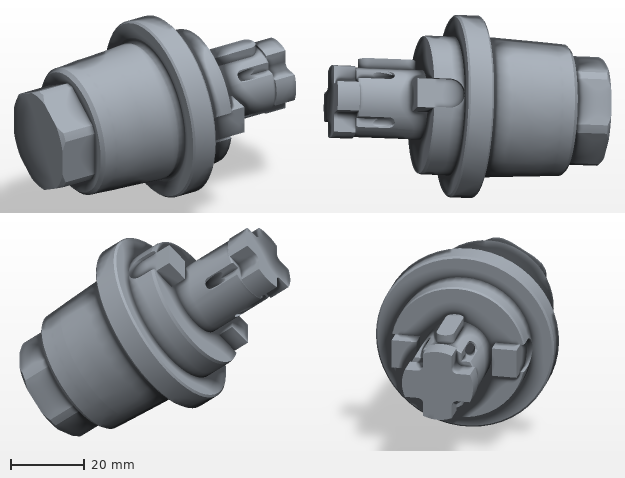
import cadquery as cq
import math


HEX_FLATS = 27.05
HEX_CORNER_RADIUS = 14.95
HEX_CHAMFER = 1.0

BODY_FRONT = 10.05
BODY_CHAMFER = 1.0
TAPER_FRONT_RADIUS = 18.0
TAPER_SEAM = 18.0
TAPER_SEAM_RADIUS = 18.4
TAPER_BACK = 33.1
TAPER_BACK_RADIUS = 19.3

NECK_RADIUS = 19.0
NECK_FRONT = 33.8
RELIEF_FILLET = 0.6
RELIEF_ANGLE = math.radians(12)
RELIEF_OUTER_RADIUS = 20.3

FLANGE_RADIUS = 25.0
FLANGE_FRONT = 34.9
FLANGE_BACK = 42.0
FLANGE_CHAMFER = 0.5

HUB_RADIUS = 19.05
HUB_BACK = 50.4
HUB_CHAMFER_LENGTH = 0.9
HUB_CHAMFER_DEPTH = 0.2

DRIVE_KEY_WIDTH = 8.0
DRIVE_KEY_BACK = 54.9
DRIVE_KEY_INNER = 10.6
DRIVE_KEY_OUTER = 17.5

SHAFT_RADIUS = 9.5
SHAFT_CHAMFER_LENGTH = 0.45
SHAFT_CHAMFER_DEPTH = 0.2

FEATHER_WIDTH = 4.9
FEATHER_FRONT = 52.0
FEATHER_BACK = 68.0
FEATHER_TOP = 12.0

CROSS_RADIUS = 10.0
CROSS_FRONT = 69.4
CROSS_ARM_WIDTH = 8.0
CROSS_FILLET = 1.6
LENGTH = 75.55

GROOVE_CORNER = 5.4
GROOVE_FRONT = 59.1

HOLE_DIAMETER = 3.0
HOLE_SLOPE = math.radians(22)
HOLE_ENTRY = 64.2
HOLE_DEPTH = 9.1


def make_turned_body():
    """Taper, undercut, flange, hub and shaft, revolved about the Y axis."""
    fillet_center_radius = NECK_RADIUS + RELIEF_FILLET
    relief_inner_radius = fillet_center_radius + RELIEF_FILLET * math.sin(RELIEF_ANGLE)
    relief_depth = (RELIEF_OUTER_RADIUS - relief_inner_radius) * math.tan(RELIEF_ANGLE)
    relief_bottom = FLANGE_FRONT + relief_depth
    neck_back = relief_bottom - RELIEF_FILLET * math.cos(RELIEF_ANGLE)
    middle_angle = (math.pi + math.pi / 2 - RELIEF_ANGLE) / 2
    fillet_middle = (
        fillet_center_radius + RELIEF_FILLET * math.cos(middle_angle),
        neck_back + RELIEF_FILLET * math.sin(middle_angle),
    )
    return (
        cq.Workplane(cq.Plane((0, 0, 0), xDir=(0, 0, 1), normal=(-1, 0, 0)))
        .moveTo(0, BODY_FRONT)
        .lineTo(TAPER_FRONT_RADIUS - BODY_CHAMFER, BODY_FRONT)
        .lineTo(TAPER_FRONT_RADIUS, BODY_FRONT + BODY_CHAMFER)
        .lineTo(TAPER_SEAM_RADIUS, TAPER_SEAM)
        .lineTo(TAPER_BACK_RADIUS, TAPER_BACK)
        .lineTo(NECK_RADIUS, NECK_FRONT)
        .lineTo(NECK_RADIUS, neck_back)
        .threePointArc(fillet_middle, (relief_inner_radius, relief_bottom))
        .lineTo(RELIEF_OUTER_RADIUS, FLANGE_FRONT)
        .lineTo(FLANGE_RADIUS - FLANGE_CHAMFER, FLANGE_FRONT)
        .lineTo(FLANGE_RADIUS, FLANGE_FRONT + FLANGE_CHAMFER)
        .lineTo(FLANGE_RADIUS, FLANGE_BACK - FLANGE_CHAMFER)
        .lineTo(FLANGE_RADIUS - FLANGE_CHAMFER, FLANGE_BACK)
        .lineTo(HUB_RADIUS, FLANGE_BACK)
        .lineTo(HUB_RADIUS, HUB_BACK - HUB_CHAMFER_LENGTH)
        .lineTo(HUB_RADIUS - HUB_CHAMFER_DEPTH, HUB_BACK)
        .lineTo(SHAFT_RADIUS, HUB_BACK)
        .lineTo(SHAFT_RADIUS, CROSS_FRONT - SHAFT_CHAMFER_LENGTH)
        .lineTo(SHAFT_RADIUS - SHAFT_CHAMFER_DEPTH, CROSS_FRONT)
        .lineTo(0, CROSS_FRONT)
        .close()
        .revolve(360, (0, 0, 0), (0, 1, 0))
    )


def along_y(start):
    """Workplane at Y = start whose extrusions run toward +Y; its local Y axis is Z."""
    return cq.Workplane(cq.Plane((0, start, 0), xDir=(-1, 0, 0), normal=(0, 1, 0)))


def make_hex_head():
    """Hexagon with corners toward +-Z, corners turned round and chamfered at the end face."""
    hexagon = (
        along_y(0)
        .polygon(6, HEX_FLATS / math.cos(math.pi / 6))
        .extrude(BODY_FRONT)
        .rotate((0, 0, 0), (0, 1, 0), 30)
    )
    turned = along_y(0).circle(HEX_CORNER_RADIUS).extrude(BODY_FRONT)
    return hexagon.intersect(turned.faces("<Y").chamfer(HEX_CHAMFER))


def make_drive_key_block(side, start, depth):
    """Block with the drive key outline, rounded at the flange, reaching outward from X = start."""
    half_width = DRIVE_KEY_WIDTH / 2
    round_center = FLANGE_BACK + half_width
    return (
        cq.Workplane("YZ", origin=(side * start, 0, 0))
        .moveTo(DRIVE_KEY_BACK, half_width)
        .lineTo(round_center, half_width)
        .threePointArc((FLANGE_BACK, 0), (round_center, -half_width))
        .lineTo(DRIVE_KEY_BACK, -half_width)
        .close()
        .extrude(side * depth)
    )


def make_feather_key():
    """Round-ended key on the +Z side of the shaft."""
    length = FEATHER_BACK - FEATHER_FRONT
    return (
        cq.Workplane("XY")
        .center(0, (FEATHER_FRONT + FEATHER_BACK) / 2)
        .slot2D(length, FEATHER_WIDTH, 90)
        .extrude(FEATHER_TOP)
    )


def make_cross_head():
    """Cross with filleted inside corners and arm ends on a cylinder."""
    cross_length = LENGTH - CROSS_FRONT
    arm = along_y(CROSS_FRONT).rect(2 * CROSS_RADIUS, CROSS_ARM_WIDTH).extrude(cross_length)
    cross = arm.union(arm.rotate((0, 0, 0), (0, 1, 0), 90))
    reach = CROSS_ARM_WIDTH
    corner_box = cq.selectors.BoxSelector((-reach, CROSS_FRONT, -reach), (reach, LENGTH, reach))
    cross = cross.edges("|Y").edges(corner_box).fillet(CROSS_FILLET)
    return cross.intersect(along_y(CROSS_FRONT).circle(CROSS_RADIUS).extrude(cross_length))


def make_groove():
    """Round-ended V groove above the axis, with a round hole sloping inward from its end."""
    groove_bottom = GROOVE_CORNER * math.sqrt(2)
    half_width = math.sqrt(SHAFT_RADIUS**2 - GROOVE_CORNER**2) / math.sqrt(2) - groove_bottom / 2
    end_center = GROOVE_FRONT + half_width
    groove_length = CROSS_FRONT - GROOVE_FRONT
    v_height = SHAFT_RADIUS
    v_cut = (
        along_y(GROOVE_FRONT)
        .polyline(
            [
                (0, groove_bottom),
                (v_height, groove_bottom + v_height),
                (-v_height, groove_bottom + v_height),
            ]
        )
        .close()
        .extrude(groove_length)
    )
    rounded_width = (
        cq.Workplane("XY")
        .moveTo(half_width, CROSS_FRONT)
        .lineTo(half_width, end_center)
        .threePointArc((0, GROOVE_FRONT), (-half_width, end_center))
        .lineTo(-half_width, CROSS_FRONT)
        .close()
        .extrude(groove_bottom + v_height)
    )
    slope = cq.Vector(0, -math.cos(HOLE_SLOPE), -math.sin(HOLE_SLOPE))
    entry = cq.Vector(0, HOLE_ENTRY, SHAFT_RADIUS)
    start = entry - slope * HOLE_DIAMETER
    hole = cq.Workplane(
        cq.Solid.makeCylinder(HOLE_DIAMETER / 2, HOLE_DIAMETER + HOLE_DEPTH, start, slope)
    )
    return v_cut.intersect(rounded_width).union(hole)


result = make_turned_body().union(make_hex_head()).union(make_feather_key())

groove = make_groove()
for quarter in range(4):
    result = result.cut(groove.rotate((0, 0, 0), (0, 1, 0), 45 + 90 * quarter))
result = result.union(make_cross_head())

key_thickness = DRIVE_KEY_OUTER - DRIVE_KEY_INNER
slot_depth = HUB_RADIUS - DRIVE_KEY_OUTER
for side in (-1, 1):
    result = result.cut(make_drive_key_block(side, DRIVE_KEY_OUTER, slot_depth))
    result = result.union(make_drive_key_block(side, DRIVE_KEY_INNER, key_thickness))